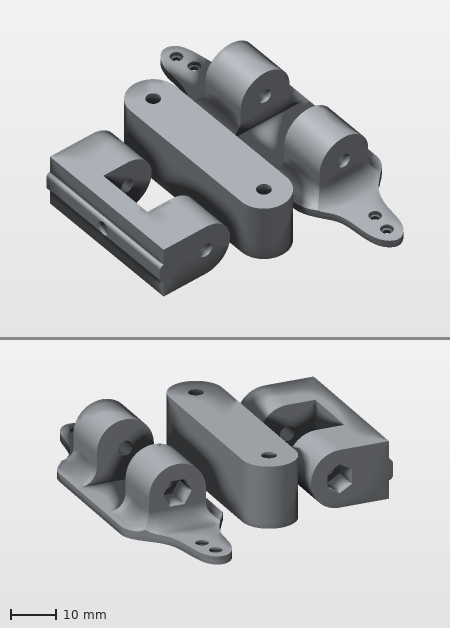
import cadquery as cq
import math

KNUCKLE_RADIUS = 7.0
KNUCKLE_WIDTH = 2 * KNUCKLE_RADIUS
BOLT_DIAMETER = 3.5
NUT_CORNERS = 7.0
NUT_DEPTH = 6.6
CUT_LENGTH = 98.5

PLATE_THICKNESS = 2.0
PLATE_HALF_WIDTH = 12.0
TIP_X = 41
TIP_Y = -1.65
KNUCKLE_MID_X = -0.4
KNUCKLE_GAP = 15.35
KNUCKLE_LENGTH = 12.4
KNUCKLE_AXIS_Z = 9.5
FLARE_RADIUS = 4.0
SCREW_DIAMETER = 1.8
SCREW_HEAD_DIAMETER = 3.0
SCREW_HEAD_DEPTH = 1.0
SCREW_POINTS = [(-37.3, -1.65), (-32.3, -0.6), (31.7, -0.8), (36.85, -1.65)]

LINK_HOLE_SPACING = 39.0
LINK_WIDTH = 13.0
LINK_HEIGHT = 15.0
LINK_BOTTOM_Z = -1.0
LINK_CENTER = (0.25, -23.0)

CLAMP_LENGTH = 40.05
CLAMP_DEPTH = 19.0
CLAMP_BACK_Y = -32.9
CLAMP_AXIS_Y = CLAMP_BACK_Y - KNUCKLE_RADIUS
CLAMP_AXIS_Z = 5.6
CLAMP_FRONT_Y = CLAMP_BACK_Y - CLAMP_DEPTH
NOTCH_WIDTH = 15.5
NOTCH_DEPTH = 13.9
NOTCH_MID_X = 0.2
RIDGE_HEIGHT = 4.9
RIDGE_PROJECTION = 1.0


def rod_along_x(diameter, start_x, length, y, z):
    """Cylinder along +X, used to cut bolt holes."""
    plane = cq.Plane(origin=(start_x, y, z), xDir=(0, 1, 0), normal=(1, 0, 0))
    return cq.Workplane(plane).circle(diameter / 2).extrude(length)


def nut_pocket(face_x, y, z, turn):
    """Hexagonal prism going NUT_DEPTH into a face that looks toward -X."""
    plane = cq.Plane(origin=(face_x, y, z), xDir=(0, 1, 0), normal=(1, 0, 0))
    return cq.Workplane(plane).transformed(rotate=(0, 0, turn)).polygon(6, NUT_CORNERS).extrude(NUT_DEPTH)


def plate_outline(height):
    """Plate outline, with a tapering ear at each end, extruded up from Z = 0."""
    left_ear = [
        (-19.9, 10.75), (-24.4, 6.2), (-27.4, 4.3), (-31.7, 3.2), (-37.35, 2.05), (-39.9, 0.7),
        (-TIP_X, TIP_Y),
        (-39.9, -4.1), (-37.35, -5.6), (-34.7, -6.2), (-29.6, -6.65), (-24.4, -8.5), (-20.4, -10.9),
    ]
    right_ear = [
        (20.35, -11.0), (23.55, -9.0), (26.3, -7.3), (29.0, -6.6), (33.9, -6.15), (37.1, -5.6), (39.8, -4.1),
        (TIP_X, TIP_Y),
        (40.0, 0.5), (37.8, 2.0), (34.6, 2.7), (29.3, 3.6), (26.3, 4.85), (23.55, 6.9), (19.6, 10.9),
    ]
    left_back = (-16.6, PLATE_HALF_WIDTH)
    left_front = (-18.55, -PLATE_HALF_WIDTH)
    right_front = (16.8, -PLATE_HALF_WIDTH)
    right_back = (16.7, PLATE_HALF_WIDTH)
    return (
        cq.Workplane("XY")
        .moveTo(*right_back)
        .lineTo(*left_back)
        .spline(left_ear + [left_front], includeCurrent=True)
        .lineTo(*right_front)
        .spline(right_ear + [right_back], includeCurrent=True)
        .close()
        .extrude(height)
    )


def flare_arc(profile, foot, side):
    """Add the concave quarter arc from the foot up to the knuckle wall; side is -1 or 1."""
    center = foot, PLATE_THICKNESS + FLARE_RADIUS
    reach = FLARE_RADIUS * math.sqrt(0.5)
    middle = (center[0] - side * reach, center[1] - reach)
    return profile.threePointArc(middle, (foot - side * FLARE_RADIUS, center[1]))


def flared_knuckle(side):
    """Knuckle on the -X (side -1) or +X (side 1) end, flared on all faces but the inner one."""
    clear_z = KNUCKLE_AXIS_Z + KNUCKLE_WIDTH
    inner_x = KNUCKLE_MID_X + side * KNUCKLE_GAP / 2
    outer_x = inner_x + side * KNUCKLE_LENGTH
    foot_x = outer_x + side * FLARE_RADIUS
    foot_y = KNUCKLE_RADIUS + FLARE_RADIUS

    along = cq.Workplane("XZ").moveTo(inner_x, 0).lineTo(foot_x, 0).lineTo(foot_x, PLATE_THICKNESS)
    along = flare_arc(along, foot_x, side).lineTo(outer_x, clear_z).lineTo(inner_x, clear_z).close()
    along = along.extrude(CUT_LENGTH / 2, both=True)

    crown = KNUCKLE_RADIUS * math.sqrt(0.5)
    across = cq.Workplane("YZ").moveTo(0, 0).lineTo(foot_y, 0).lineTo(foot_y, PLATE_THICKNESS)
    across = flare_arc(across, foot_y, 1).lineTo(KNUCKLE_RADIUS, KNUCKLE_AXIS_Z)
    across = across.threePointArc((crown, KNUCKLE_AXIS_Z + crown), (0, KNUCKLE_AXIS_Z + KNUCKLE_RADIUS))
    across = across.mirrorY().extrude(CUT_LENGTH / 2, both=True)

    trim = plate_outline(2 * clear_z).translate((0, 0, -clear_z))
    return along.intersect(across).intersect(trim)


def make_base():
    base = plate_outline(PLATE_THICKNESS)
    for side in (-1, 1):
        base = base.union(flared_knuckle(side))
    base = base.cut(rod_along_x(BOLT_DIAMETER, -CUT_LENGTH / 2, CUT_LENGTH, 0, KNUCKLE_AXIS_Z))
    left_face_x = KNUCKLE_MID_X - KNUCKLE_GAP / 2 - KNUCKLE_LENGTH
    base = base.cut(nut_pocket(left_face_x, 0, KNUCKLE_AXIS_Z, 0))
    screw_holes = cq.Workplane("XY").pushPoints(SCREW_POINTS).circle(SCREW_DIAMETER / 2).extrude(PLATE_THICKNESS)
    screw_heads = (
        cq.Workplane("XY", origin=(0, 0, PLATE_THICKNESS))
        .pushPoints(SCREW_POINTS)
        .circle(SCREW_HEAD_DIAMETER / 2)
        .extrude(-SCREW_HEAD_DEPTH)
    )
    return base.cut(screw_holes).cut(screw_heads)


def make_link():
    x, y = LINK_CENTER
    plane = cq.Workplane("XY", origin=(x, y, LINK_BOTTOM_Z))
    bar = plane.slot2D(LINK_HOLE_SPACING + LINK_WIDTH, LINK_WIDTH).extrude(LINK_HEIGHT)
    holes = plane.rarray(LINK_HOLE_SPACING, 0.8, 2, 1).circle(BOLT_DIAMETER / 2).extrude(LINK_HEIGHT)
    return bar.cut(holes)


def make_clamp():
    bottom_z = CLAMP_AXIS_Z - KNUCKLE_RADIUS
    top_z = CLAMP_AXIS_Z + KNUCKLE_RADIUS
    left_x = -CLAMP_LENGTH / 2
    block = (
        cq.Workplane("YZ", origin=(left_x, 0, 0))
        .moveTo(CLAMP_FRONT_Y, bottom_z)
        .lineTo(CLAMP_AXIS_Y, bottom_z)
        .threePointArc((CLAMP_BACK_Y, CLAMP_AXIS_Z), (CLAMP_AXIS_Y, top_z))
        .lineTo(CLAMP_FRONT_Y, top_z)
        .close()
        .extrude(CLAMP_LENGTH)
    )

    half_ridge = RIDGE_HEIGHT / 2
    half_flat = half_ridge - RIDGE_PROJECTION
    ridge_y = CLAMP_FRONT_Y - RIDGE_PROJECTION
    ridge = (
        cq.Workplane("YZ", origin=(left_x, 0, 0))
        .moveTo(CLAMP_FRONT_Y, CLAMP_AXIS_Z + half_ridge)
        .radiusArc((ridge_y, CLAMP_AXIS_Z + half_flat), -RIDGE_PROJECTION)
        .lineTo(ridge_y, CLAMP_AXIS_Z - half_flat)
        .radiusArc((CLAMP_FRONT_Y, CLAMP_AXIS_Z - half_ridge), -RIDGE_PROJECTION)
        .close()
        .extrude(CLAMP_LENGTH)
    )
    clamp = block.union(ridge)

    notch = cq.Workplane("XY").box(NOTCH_WIDTH, NOTCH_DEPTH, KNUCKLE_WIDTH)
    clamp = clamp.cut(notch.translate((NOTCH_MID_X, CLAMP_BACK_Y - NOTCH_DEPTH / 2, CLAMP_AXIS_Z)))

    clamp = clamp.cut(rod_along_x(BOLT_DIAMETER, left_x, CLAMP_LENGTH, CLAMP_AXIS_Y, CLAMP_AXIS_Z))
    clamp = clamp.cut(nut_pocket(left_x, CLAMP_AXIS_Y, CLAMP_AXIS_Z, 90))
    front_hole = cq.Workplane("XZ", origin=(0, CLAMP_AXIS_Y, CLAMP_AXIS_Z)).circle(BOLT_DIAMETER / 2)
    return clamp.cut(front_hole.extrude(CLAMP_DEPTH))


base = make_base()
link = make_link()
clamp = make_clamp()

result = cq.Compound.makeCompound([base.val(), link.val(), clamp.val()])